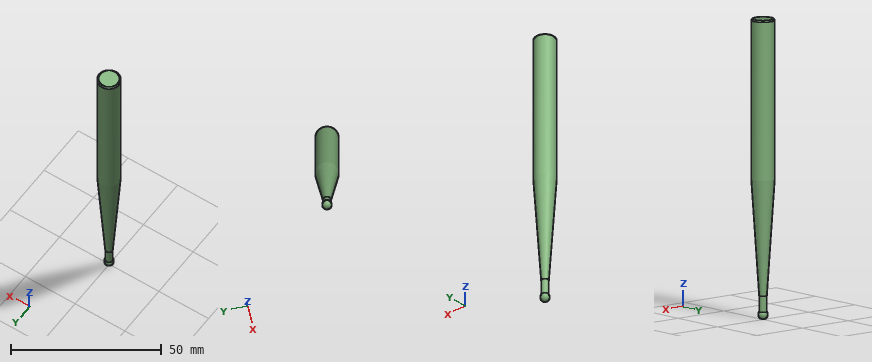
import cadquery as cq
import math

TOTAL_LENGTH = 101.6
TAPER_TOP_Z = 47.5
JOINT_Z = 8.0

SHANK_RADIUS = 7.9 / 2
TOP_CHAMFER = 0.5

NECK_RADIUS = 2.6 / 2
BALL_RADIUS = 3.3 / 2


def make_shank():
    """Cylindrical shank with a chamfered top and a long taper narrowing to the neck."""
    profile = (
        cq.Workplane("XZ")
        .moveTo(0, JOINT_Z)
        .lineTo(NECK_RADIUS, JOINT_Z)
        .lineTo(SHANK_RADIUS, TAPER_TOP_Z)
        .lineTo(SHANK_RADIUS, TOTAL_LENGTH - TOP_CHAMFER)
        .lineTo(SHANK_RADIUS - TOP_CHAMFER, TOTAL_LENGTH)
        .lineTo(0, TOTAL_LENGTH)
        .close()
    )
    return profile.revolve(360, (0, 0), (0, 1))


def make_ball_tip():
    """Round neck ending in a ball whose lowest point is at Z = 0."""
    ball_top_z = BALL_RADIUS + math.sqrt(BALL_RADIUS**2 - NECK_RADIUS**2)
    profile = (
        cq.Workplane("XZ")
        .moveTo(0, JOINT_Z)
        .lineTo(NECK_RADIUS, JOINT_Z)
        .lineTo(NECK_RADIUS, ball_top_z)
        .threePointArc((BALL_RADIUS, BALL_RADIUS), (0, 0))
        .close()
    )
    return profile.revolve(360, (0, 0), (0, 1))


shank = make_shank()
ball_tip = make_ball_tip()

result = cq.Compound.makeCompound([shank.val(), ball_tip.val()])